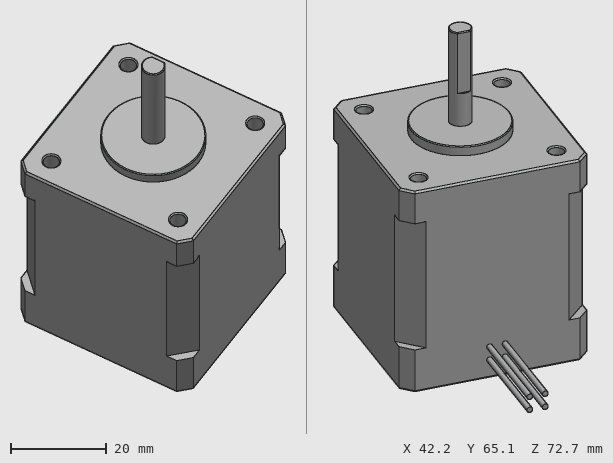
import cadquery as cq
import math

total_height = 72.65
body_width = 42.2
total_depth = 65.1

body_height = 48.0
rim_chamfer = 0.4
base_bevel_height = 0.3
base_bevel_inset = 0.15
cap_corner_cut = 2.55
core_corner_cut = 5.0
front_cap_height = 7.6
rear_cap_height = 10.1

boss_diameter = 22.0
boss_height = 2.25
boss_chamfer = 0.2
shaft_diameter = 5.0
shaft_chamfer = 0.2
shaft_flat_offset = 2.0
shaft_flat_length = 14.5

hole_spacing = 31.0
hole_diameter = 3.4
hole_depth = 4.5
hole_chamfer = 0.3

wire_diameter = 1.3
wire_spacing_x = 3.5
wire_spacing_z = 3.1
lowest_wire_z = 4.3
wire_embed = 1.45


def octagonal_prism(corner_cut, bottom_z, height):
    """Square prism of the body width with its four upright edges cut at 45 degrees."""
    return (
        cq.Workplane("XY")
        .workplane(offset=bottom_z)
        .rect(body_width, body_width)
        .extrude(height)
        .edges("|Z")
        .chamfer(corner_cut)
    )


def make_body():
    """Two end caps joined by a core with deeper corner cuts."""
    core_height = body_height - rear_cap_height - front_cap_height
    base_taper = math.degrees(math.atan2(base_bevel_inset, base_bevel_height))
    rear_cap = octagonal_prism(cap_corner_cut, base_bevel_height, rear_cap_height - base_bevel_height)
    rear_cap = (
        rear_cap.faces("<Z")
        .wires()
        .toPending()
        .workplane()
        .extrude(base_bevel_height, taper=base_taper)
    )
    core = octagonal_prism(core_corner_cut, rear_cap_height, core_height)
    front_cap = octagonal_prism(cap_corner_cut, body_height - front_cap_height, front_cap_height)
    front_cap = front_cap.faces(">Z").chamfer(rim_chamfer)
    return rear_cap.union(core).union(front_cap)


def make_boss():
    """Round pilot boss on the front cap."""
    boss = cq.Workplane("XY").workplane(offset=body_height).circle(boss_diameter / 2).extrude(boss_height)
    return boss.faces(">Z").chamfer(boss_chamfer)


def make_shaft():
    """Output shaft with a flat on its +Y side near the tip and a chamfered end."""
    shaft = (
        cq.Workplane("XY")
        .workplane(offset=body_height)
        .circle(shaft_diameter / 2)
        .extrude(total_height - body_height)
    )
    flat_cutter = (
        cq.Workplane("XY")
        .workplane(offset=total_height - shaft_flat_length)
        .center(0, shaft_flat_offset + shaft_diameter / 2)
        .rect(shaft_diameter, shaft_diameter)
        .extrude(shaft_flat_length)
    )
    return shaft.cut(flat_cutter).faces(">Z").chamfer(shaft_chamfer)


def make_mounting_holes():
    """Blind holes with a chamfered mouth, one in each corner of the front cap."""
    radius = hole_diameter / 2
    profile = [
        (0, body_height),
        (radius + hole_chamfer, body_height),
        (radius, body_height - hole_chamfer),
        (radius, body_height - hole_depth),
        (0, body_height - hole_depth),
    ]
    hole = cq.Workplane("XZ").polyline(profile).close().revolve(360, (0, 0), (0, 1))
    holes = cq.Workplane("XY")
    for side_x in (-1, 1):
        for side_y in (-1, 1):
            holes = holes.add(hole.translate((side_x * hole_spacing / 2, side_y * hole_spacing / 2, 0)))
    return holes.combine()


def make_wires():
    """Four straight lead wires leaving the +Y side in a two by two group."""
    back_y = body_width / 2
    wire_length = total_depth - body_width
    return (
        cq.Workplane("XZ", origin=(0, back_y + wire_length, lowest_wire_z + wire_spacing_z / 2))
        .rarray(wire_spacing_x, wire_spacing_z, 2, 2)
        .circle(wire_diameter / 2)
        .extrude(wire_length + wire_embed)
    )


result = make_body().union(make_boss()).union(make_shaft()).union(make_wires()).cut(make_mounting_holes())